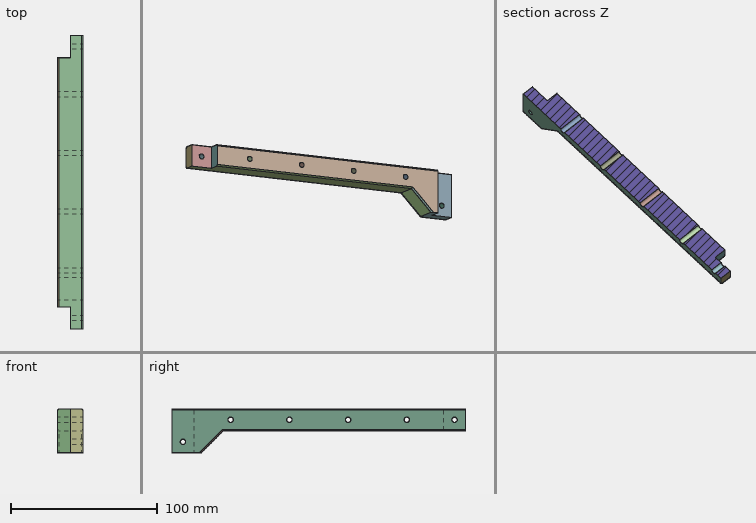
import cadquery as cq

length = 200.0
width = 17.5
pad_thickness = width / 2
bar_height = 15.0
foot_height = 30.0
foot_length = 20.0
tab_length = 15.0
chamfer = 1.0
hole_diameter = 3.5
hole_edge_distance = 7.5
pad_hole_pitch = 40.0
pad_hole_count = 4

x_pad = -width / 2
x_back = width / 2
y_front = -length / 2
y_rear = length / 2
z_bottom = -foot_height / 2
z_top = foot_height / 2
z_underside = z_top - bar_height
y_foot_tip = y_front + foot_length
y_slope_end = y_foot_tip + foot_height - bar_height


def side_outline():
    """Side profile: a straight bar with a foot that slopes up to it."""
    return [
        (y_front, z_bottom),
        (y_foot_tip, z_bottom),
        (y_slope_end, z_underside),
        (y_rear, z_underside),
        (y_rear, z_top),
        (y_front, z_top),
    ]


def make_body():
    """Full-width extrusion of the side profile along X."""
    return cq.Workplane("YZ", origin=(x_pad, 0, 0)).polyline(side_outline()).close().extrude(width)


def chamfer_long_edges(body):
    """Bevel the top, underside and slope edges on both sides of the bar."""
    edges = body.faces(">Z").edges("|Y")
    y_slope_middle = (y_foot_tip + y_slope_end) / 2
    z_slope_middle = (z_bottom + z_underside) / 2
    y_underside_middle = (y_slope_end + y_rear) / 2
    for x_side in (x_pad, x_back):
        slope_middle = (x_side, y_slope_middle, z_slope_middle)
        underside_middle = (x_side, y_underside_middle, z_underside)
        for edge_middle in (slope_middle, underside_middle):
            edges = edges.add(body.edges(cq.selectors.NearestToPointSelector(edge_middle)))
    return edges.chamfer(chamfer)


def cut_end_tabs(body):
    """Remove the pad thickness at both ends to leave thin mounting tabs."""
    for y_tab in (y_front, y_rear - tab_length):
        notch = cq.Workplane("XY").box(pad_thickness, tab_length, foot_height, centered=False)
        body = body.cut(notch.translate((x_pad, y_tab, z_bottom)))
    return body


def drill_holes(body):
    """Drill the row of pad holes and one hole in each tab, all through along X."""
    z_bar_hole = z_top - hole_edge_distance
    first_pad_hole = -pad_hole_pitch * (pad_hole_count - 1) / 2
    centres = [(first_pad_hole + i * pad_hole_pitch, z_bar_hole) for i in range(pad_hole_count)]
    centres.append((y_rear - hole_edge_distance, z_bar_hole))
    centres.append((y_front + hole_edge_distance, z_bottom + hole_edge_distance))
    drills = (
        cq.Workplane("YZ", origin=(x_pad, 0, 0))
        .pushPoints(centres)
        .circle(hole_diameter / 2)
        .extrude(width)
    )
    return body.cut(drills)


result = drill_holes(cut_end_tabs(chamfer_long_edges(make_body())))